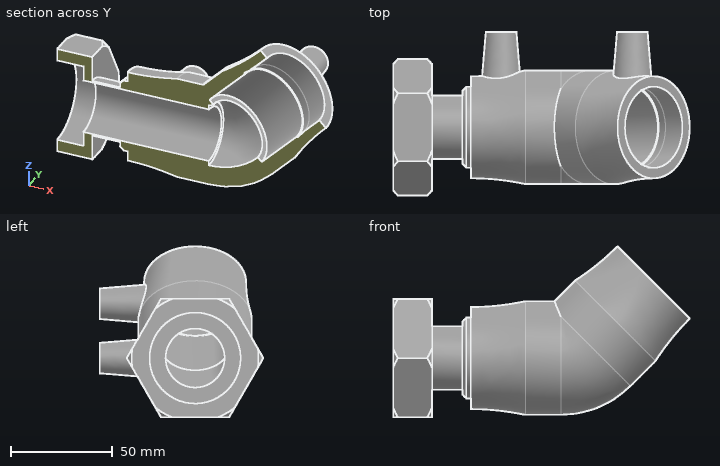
import cadquery as cq
import math


NUT_FLATS = 58.3
NUT_LENGTH = 19.1
NUT_BORE_DIA = 44.8
NUT_BORE_DEPTH = 14.3
NUT_CHAMFER = 2.3
NUT_FACE_DIA = 62.5

PIPE_DIA = 31.4
PIPE_BORE_DIA = 29.0
COLLAR_START = 34.0
COLLAR_DIA = 40.0
COLLAR_CHAMFER = 2.0

CORNER_X = 91.0
BEND_ANGLE = 45.0
BEND_RADIUS = 20.6
BODY_DIA = 56.0
END_DIA = 50.4
ARM_LENGTH = 52.7
STRAIGHT_LENGTH = 26.0
BEND_TANGENT = BEND_RADIUS * math.tan(math.radians(BEND_ANGLE / 2))

BEND_BORE_DIA = 34.0
SOCKET_DIA = 40.0
GROOVE_START = 35.6
GROOVE_END = 40.7
GROOVE_DEPTH = 0.6

TERMINAL_TOP_Y = 47.0
TERMINAL_BASE_Y = 21.9
TERMINAL_TOP_DIA = 15.2
TERMINAL_BASE_DIA = 19.4
TERMINAL_POSITION = 37.8


def x_cylinder(diameter, start, end):
    return cq.Workplane("YZ", origin=(start, 0, 0)).circle(diameter / 2).extrude(end - start)


def to_outlet(shape):
    """Move a shape from the inlet arm to the matching place on the outlet arm."""
    mirrored = shape.mirror("YZ", (CORNER_X, 0, 0))
    return mirrored.rotate((CORNER_X, 0, 0), (CORNER_X, -1, 0), BEND_ANGLE)


def make_nut():
    corner_dia = NUT_FLATS / math.cos(math.radians(30))
    hexagon = cq.Workplane("YZ").polygon(6, corner_dia).extrude(NUT_LENGTH)
    face_radius = NUT_FACE_DIA / 2
    corner_radius = corner_dia / 2
    envelope = (
        cq.Workplane("XY")
        .moveTo(0, 0)
        .lineTo(0, face_radius)
        .lineTo(NUT_CHAMFER, corner_radius)
        .lineTo(NUT_LENGTH - NUT_CHAMFER, corner_radius)
        .lineTo(NUT_LENGTH, face_radius)
        .lineTo(NUT_LENGTH, 0)
        .close()
        .revolve(360, (0, 0, 0), (1, 0, 0))
    )
    return hexagon.intersect(envelope).cut(x_cylinder(NUT_BORE_DIA, 0, NUT_BORE_DEPTH))


def make_nipple():
    arm_end = CORNER_X - ARM_LENGTH
    pipe = x_cylinder(PIPE_DIA, NUT_BORE_DEPTH, arm_end)
    collar = x_cylinder(COLLAR_DIA, COLLAR_START, arm_end).faces("<X").chamfer(COLLAR_CHAMFER)
    return pipe.union(collar)


def make_arm():
    """Inlet arm, its end section flaring along an arc that starts parallel to the axis."""
    flare_length = ARM_LENGTH - STRAIGHT_LENGTH
    flare_rise = (BODY_DIA - END_DIA) / 2
    half_sweep = math.atan(flare_rise / flare_length)
    flare_radius = flare_length / math.sin(2 * half_sweep)
    flare_middle = (
        CORNER_X - ARM_LENGTH + flare_radius * math.sin(half_sweep),
        END_DIA / 2 + flare_radius * (1 - math.cos(half_sweep)),
    )
    return (
        cq.Workplane("XY")
        .moveTo(CORNER_X - ARM_LENGTH, 0)
        .lineTo(CORNER_X - ARM_LENGTH, END_DIA / 2)
        .threePointArc(flare_middle, (CORNER_X - STRAIGHT_LENGTH, BODY_DIA / 2))
        .lineTo(CORNER_X - BEND_TANGENT, BODY_DIA / 2)
        .lineTo(CORNER_X - BEND_TANGENT, 0)
        .close()
        .revolve(360, (0, 0, 0), (1, 0, 0))
    )


def make_bend(diameter):
    """Circular section turned about the bend axis, keeping only what lies outside that axis."""
    section = cq.Sketch().circle(diameter / 2)
    reach = diameter
    section = section.push([(0, BEND_RADIUS + reach / 2)]).rect(2 * reach, reach, mode="s")
    return (
        cq.Workplane("YZ", origin=(CORNER_X - BEND_TANGENT, 0, 0))
        .placeSketch(section)
        .revolve(BEND_ANGLE, (1.5, BEND_RADIUS, 0), (0, BEND_RADIUS, 0))
    )


def make_socket():
    """Outlet socket with a shallow undercut, laid out on the inlet arm."""
    radius = SOCKET_DIA / 2
    return to_outlet(
        cq.Workplane("XY")
        .moveTo(CORNER_X - ARM_LENGTH, 0)
        .lineTo(CORNER_X - ARM_LENGTH, radius)
        .lineTo(CORNER_X - GROOVE_END, radius)
        .lineTo(CORNER_X - GROOVE_START, radius + GROOVE_DEPTH)
        .lineTo(CORNER_X - GROOVE_START, radius)
        .lineTo(CORNER_X - BEND_TANGENT, radius)
        .lineTo(CORNER_X - BEND_TANGENT, 0)
        .close()
        .revolve(360, (0, 0, 0), (1, 0, 0))
    )


def make_terminal():
    length = TERMINAL_TOP_Y - TERMINAL_BASE_Y
    taper = math.degrees(math.atan((TERMINAL_BASE_DIA - TERMINAL_TOP_DIA) / 2 / length))
    return (
        cq.Workplane("XZ", origin=(CORNER_X - TERMINAL_POSITION, TERMINAL_TOP_Y, 0))
        .circle(TERMINAL_TOP_DIA / 2)
        .extrude(length, taper=-taper)
    )


arm = make_arm()
terminal = make_terminal()
elbow = arm.union(to_outlet(arm)).union(make_bend(BODY_DIA))
outside = make_nut().union(make_nipple()).union(elbow).union(terminal).union(to_outlet(terminal))

pipe_bore = x_cylinder(PIPE_BORE_DIA, 0, CORNER_X - BEND_TANGENT)
result = outside.cut(pipe_bore).cut(make_bend(BEND_BORE_DIA)).cut(make_socket())